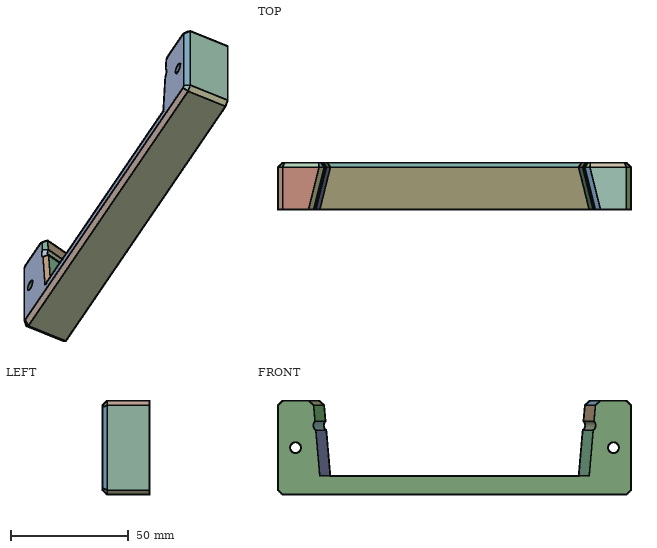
import cadquery as cq
import math

length = 150.0
depth = 20.0
height = 40.0
chamfer = 2.0

floor_height = 8.0
front_leg_width = 17.8
wall_lean = math.radians(5.0)
leg_flare = 5.0

groove_height = 29.3
groove_radius = 2.5
groove_half_chord = 1.9

hole_diameter = 4.5
hole_spacing = 135.0
hole_height = height / 2


def outer_block():
    """Plain block with its four edges along Y chamfered."""
    block = cq.Workplane("XY").box(length, depth, height, centered=(True, False, False))
    return block.edges("|Y").chamfer(chamfer)


def wall_x(z):
    """X of the left leg's inner wall on the front face at height z."""
    return front_leg_width - length / 2 - (z - floor_height) * math.tan(wall_lean)


def half_opening():
    """Left half of the opening, skewed so that the leg widens toward the back."""
    mouth_half_height = groove_half_chord * math.cos(wall_lean)
    groove_bottom_z = groove_height - mouth_half_height
    groove_top_z = groove_height + mouth_half_height
    groove_depth = groove_radius - math.sqrt(groove_radius**2 - groove_half_chord**2)
    groove_deepest = (
        wall_x(groove_height) - groove_depth * math.cos(wall_lean),
        groove_height - groove_depth * math.sin(wall_lean),
    )
    chamfer_z = height - chamfer
    wire = (
        cq.Workplane("XZ")
        .moveTo(0, floor_height)
        .lineTo(wall_x(floor_height), floor_height)
        .lineTo(wall_x(groove_bottom_z), groove_bottom_z)
        .threePointArc(groove_deepest, (wall_x(groove_top_z), groove_top_z))
        .lineTo(wall_x(chamfer_z), chamfer_z)
        .lineTo(wall_x(height) - chamfer, height)
        .lineTo(0, height)
        .close()
        .val()
    )
    skew = cq.Vector(leg_flare, depth, 0)
    return cq.Workplane(cq.Solid.extrudeLinear(wire, [], skew))


def opening():
    """Full opening, made of the left half and its mirror image."""
    left = half_opening()
    return left.union(left.mirror("YZ"))


def screw_holes():
    """Holes through both legs, along Y."""
    return (
        cq.Workplane("XZ")
        .pushPoints([(side * hole_spacing / 2, hole_height) for side in (-1, 1)])
        .circle(hole_diameter / 2)
        .extrude(-depth)
    )


frame = outer_block().cut(opening())
frame = frame.faces(">Y").edges().chamfer(chamfer)
result = frame.cut(screw_holes())